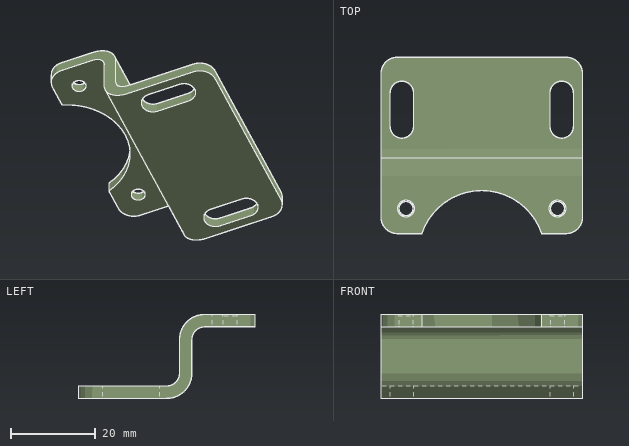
import cadquery as cq

width = 48.0
depth = 42.0
height = 20.0
thickness = 3.0
inner_bend_radius = 3.0
outer_bend_radius = inner_bend_radius + thickness
web_front = 15.0
web_back = web_front + thickness
corner_radius = 4.0

slot_width = 5.5
slot_center_travel = 8.0
slot_length = slot_center_travel + slot_width
slot_spacing = 38.0
slot_y = 29.5

hole_diameter = 3.3
countersink_diameter = 4.0
countersink_depth = (countersink_diameter - hole_diameter) / 2
hole_spacing = 36.0
hole_y = 6.0

clearance_radius = 15.0
clearance_center_y = -4.75


def bent_sheet():
    """Z profile in the YZ plane, extruded symmetrically along X, with rounded bends."""
    sheet = (
        cq.Workplane("YZ")
        .moveTo(0, height)
        .lineTo(web_back, height)
        .lineTo(web_back, thickness)
        .lineTo(depth, thickness)
        .lineTo(depth, 0)
        .lineTo(web_front, 0)
        .lineTo(web_front, height - thickness)
        .lineTo(0, height - thickness)
        .close()
        .extrude(width / 2, both=True)
    )
    inner_bends = [(web_back, thickness), (web_front, height - thickness)]
    outer_bends = [(web_front, 0), (web_back, height)]
    for bends, radius in ((inner_bends, inner_bend_radius), (outer_bends, outer_bend_radius)):
        for y, z in bends:
            sheet = sheet.edges(cq.selectors.NearestToPointSelector((0, y, z))).fillet(radius)
    return sheet


def slot_cutter():
    """Pair of slots running along Y through the lower flange."""
    return (
        cq.Workplane("XY")
        .pushPoints([(-slot_spacing / 2, slot_y), (slot_spacing / 2, slot_y)])
        .slot2D(slot_length, slot_width, angle=90)
        .extrude(thickness)
    )


def clearance_cutter():
    """Cylinder that cuts the arc out of the upper flange's front edge."""
    return (
        cq.Workplane("XY", origin=(0, clearance_center_y, height - thickness))
        .circle(clearance_radius)
        .extrude(thickness)
    )


def countersunk_holes(body):
    """Through holes in the upper flange with a 90 degree countersink on the top face."""
    flange_bottom = height - thickness
    for x in (-hole_spacing / 2, hole_spacing / 2):
        hole = (
            cq.Workplane("XY", origin=(x, hole_y, flange_bottom))
            .circle(hole_diameter / 2)
            .extrude(thickness)
        )
        countersink = cq.Workplane(
            cq.Solid.makeCone(
                hole_diameter / 2,
                countersink_diameter / 2,
                countersink_depth,
                pnt=cq.Vector(x, hole_y, height - countersink_depth),
            )
        )
        body = body.cut(hole).cut(countersink)
    return body


def round_corners(body):
    """Round the four free corners of the two flanges in plan."""
    return body.faces("<Y or >Y").edges("|Z").fillet(corner_radius)


bracket = round_corners(bent_sheet())
bracket = bracket.cut(slot_cutter())
bracket = bracket.cut(clearance_cutter())
result = countersunk_holes(bracket)